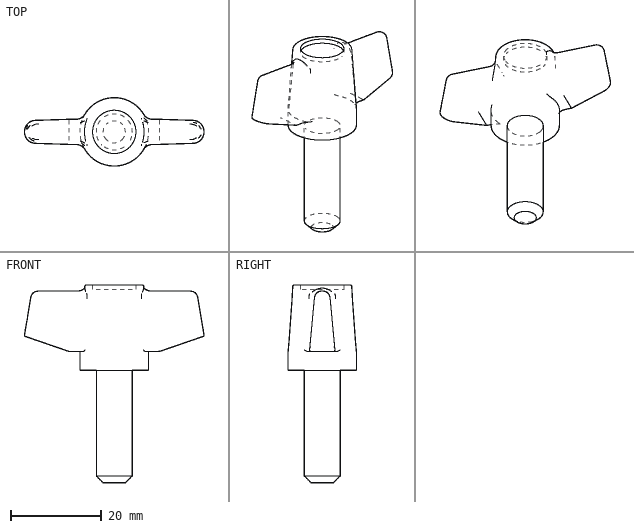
import cadquery as cq
import math

stud_diameter = 8.0
stud_length = 25.0
stud_chamfer = 1.55

collar_diameter = 15.25
collar_height = 4.0
collar_edge_radius = 0.2
head_height = 19.0
hub_top_diameter = 13.1
hub_edge_radius = 0.45
recess_diameter = 9.62
recess_depth = 1.0

wing_bottom_z = 4.15
wing_top_z = 17.62
wing_bottom_half_width = 2.85
wing_side_draft = 5.3
wing_bottom_end_x = 17.73
wing_end_lean = 4.3
wing_top_radius = 1.65
wing_lower_edge_radius = 0.3
underside_flat_x = 10.0
underside_rise = 19.0
root_radius = 2.4

angle_margin = 1.0
root_margin = 1.0

wing_reach = wing_bottom_end_x + 2 * wing_bottom_half_width


def wing_half_width(z):
    """Half thickness of the wing bar at height z."""
    return wing_bottom_half_width - (z - wing_bottom_z) * math.tan(math.radians(wing_side_draft))


def wing_end_x(z):
    """Distance from the hub axis to the centre of a wing's round end at height z."""
    return wing_bottom_end_x - (z - wing_bottom_z) * math.tan(math.radians(wing_end_lean))


def make_stud():
    """Shank with a chamfered tip, carried up into the head."""
    return (
        cq.Workplane("XY")
        .workplane(offset=-stud_length)
        .circle(stud_diameter / 2)
        .extrude(stud_length + collar_height)
        .faces("<Z")
        .chamfer(stud_chamfer)
    )


def make_collar():
    return (
        cq.Workplane("XY")
        .circle(collar_diameter / 2)
        .extrude(collar_height)
        .faces("<Z")
        .edges()
        .fillet(collar_edge_radius)
    )


def make_hub():
    """Tapered hub standing on the collar, with sharp edges."""
    return (
        cq.Workplane("XZ")
        .moveTo(0, collar_height)
        .lineTo(collar_diameter / 2, collar_height)
        .lineTo(hub_top_diameter / 2, head_height)
        .lineTo(0, head_height)
        .close()
        .revolve(360, (0, 0, 0), (0, 1, 0))
    )


def hub_radius_at(z):
    """Radius of the tapered hub at height z."""
    taper = (collar_diameter - hub_top_diameter) / 2 / (head_height - collar_height)
    return collar_diameter / 2 - taper * (z - collar_height)


def add_bar_section(workplane, z):
    """Stadium outline of the wing bar at height z."""
    half_width = wing_half_width(z)
    return workplane.slot2D(2 * (wing_end_x(z) + half_width), 2 * half_width)


def make_bar():
    """Drafted bar along X, as tall as the hub so that both share flat ends."""
    bottom = add_bar_section(cq.Workplane("XY").workplane(offset=collar_height), collar_height)
    top = add_bar_section(bottom.workplane(offset=head_height - collar_height), head_height)
    return top.loft(ruled=True)


def make_underside_wedge(side):
    """Material below the rising underside of the wing on one side (+1 or -1)."""
    rise = (wing_reach - underside_flat_x) * math.tan(math.radians(underside_rise))
    return (
        cq.Workplane("XZ")
        .moveTo(side * underside_flat_x, wing_bottom_z)
        .lineTo(side * wing_reach, wing_bottom_z + rise)
        .lineTo(side * wing_reach, wing_bottom_z)
        .close()
        .extrude(2 * wing_bottom_half_width, both=True)
    )


def is_underside(face):
    """True for the level and rising faces below the wings, not for the drafted sides."""
    steepest = underside_rise + angle_margin
    return face.normalAt().z < -math.cos(math.radians(steepest))


def make_wings():
    """Both wings with their upright root blends, including the hub core between them."""
    root_edges = cq.selectors.BoxSelector(
        (-collar_diameter / 2, -collar_diameter / 2, collar_height + root_margin),
        (collar_diameter / 2, collar_diameter / 2, head_height - root_margin),
    )
    wings = make_hub().union(make_bar())
    wings = wings.edges(root_edges).edges("%BSPLINE").fillet(root_radius)

    wing_slab = (
        cq.Workplane("XY")
        .workplane(offset=wing_bottom_z)
        .rect(2 * wing_reach, 2 * wing_reach)
        .extrude(wing_top_z - wing_bottom_z)
    )
    wings = wings.intersect(wing_slab)
    for side in (1, -1):
        wings = wings.cut(make_underside_wedge(side))

    wings = wings.faces(">Z").edges().fillet(wing_top_radius)
    return wings.faces().filter(is_underside).edges("not |Y").fillet(wing_lower_edge_radius)


def make_root_flare(side):
    """Trumpet that lifts the rounded top of one wing (+1 or -1) into the hub."""
    axis_z = wing_top_z - wing_top_radius
    hub_radius = hub_radius_at(axis_z)
    blend_centre_radius = wing_top_radius + root_radius
    neck_x = math.sqrt((hub_radius + root_radius) ** 2 - blend_centre_radius ** 2)
    mouth_x = hub_radius * neck_x / (hub_radius + root_radius)
    mouth_radius = hub_radius * blend_centre_radius / (hub_radius + root_radius)
    half_angle = math.asin((neck_x - mouth_x) / root_radius) / 2
    middle_x = neck_x - root_radius * math.sin(half_angle)
    middle_radius = blend_centre_radius - root_radius * math.cos(half_angle)
    return (
        cq.Workplane("XZ", origin=(0, 0, axis_z))
        .moveTo(0, 0)
        .lineTo(side * neck_x, 0)
        .lineTo(side * neck_x, wing_top_radius)
        .threePointArc((side * middle_x, middle_radius), (side * mouth_x, mouth_radius))
        .lineTo(0, mouth_radius)
        .close()
        .revolve(360, (0, 0, 0), (1, 0, 0))
    )


def make_recess():
    return (
        cq.Workplane("XY")
        .workplane(offset=head_height - recess_depth)
        .circle(recess_diameter / 2)
        .extrude(recess_depth)
    )


hub = make_hub().faces(">Z").edges().fillet(hub_edge_radius)
head = hub.union(make_wings())
for wing_side in (1, -1):
    head = head.union(make_root_flare(wing_side))
head = head.union(make_collar()).cut(make_recess())
result = head.union(make_stud())